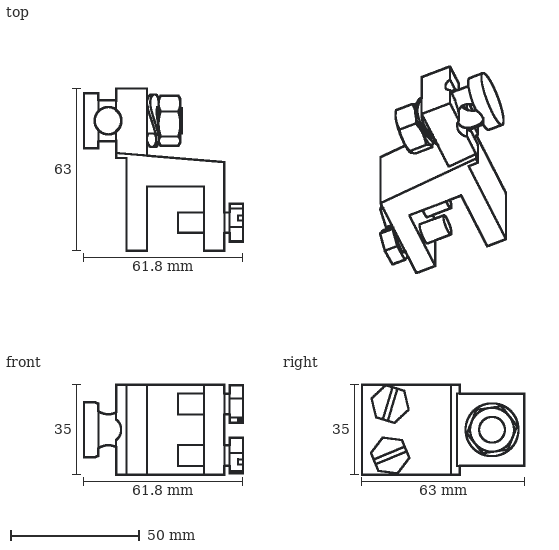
import cadquery as cq
import math


HALF_CORNER_ANGLE = 30.0
QUARTER_TURN = 90.0

LUG_THICKNESS = 12.0
LUG_HEIGHT = 28.0
LUG_TOP_Y = 12.5
STEP_DEPTH = 4.0
STEP_Y = LUG_TOP_Y - 27.0
CLAMP_HEIGHT = 35.0
ARM_THICKNESS = 8.0
JAW_OPENING = 22.0
CLAMP_END_Y = LUG_TOP_Y - 63.0
JAW_FLOOR_Y = CLAMP_END_Y + 25.0
SLOPE_START_Y = LUG_TOP_Y - 25.0
SLOPE_END_Y = LUG_TOP_Y - 28.5
JAW_NEAR_X = STEP_DEPTH + ARM_THICKNESS
JAW_FAR_X = JAW_NEAR_X + JAW_OPENING
CLAMP_FAR_X = JAW_FAR_X + ARM_THICKNESS

PASSAGE_X = -3.0
STUD_HOLE_DIAMETER = 10.5
GROOVE_DIAMETER = 10.0

HEAD_DIAMETER = 21.5
HEAD_LENGTH = 5.6
HEAD_START_X = -12.5
COLLAR_DIAMETER = 16.0
COLLAR_END_X = 4.5
COLLAR_ROUNDING = 4.0
ROD_DIAMETER = 10.0
ROD_END_X = 25.5
COLLAR_RECESS_DIAMETER = 17.0
COLLAR_RECESS_DEPTH = COLLAR_END_X
ROD_HOLE_DIAMETER = 11.0

WASHER_DIAMETER = 20.5
WASHER_HOLE_DIAMETER = 10.5
WASHER_THICKNESS = 1.0
WASHER_SPAN = 4.5
WASHER_TURN = 46.0

NUT_START_X = LUG_THICKNESS + WASHER_SPAN
NUT_ACROSS_FLATS = 17.0
NUT_LENGTH = 8.4
NUT_TURN = 8.3
NUT_CHAMFER_ANGLE = 30.0

SCREW_DIAMETER = 8.0
SCREW_Y = CLAMP_END_Y + 11.0
SCREW_Z = 9.97
SCREW_REACH = 10.0
SCREW_HEAD_GAP = 2.0
SCREW_HEAD_LENGTH = 5.3
SCREW_ACROSS_FLATS = 13.0
SLOT_WIDTH = 2.0
SLOT_DEPTH = 2.0
SLOT_TURN = QUARTER_TURN
UPPER_SCREW_TURN = 73.3
LOWER_SCREW_TURN = 22.5


def rod(diameter, start_x, end_x, y=0.0, z=0.0):
    """Round bar along X."""
    plane = cq.Workplane("YZ", origin=(start_x, y, z))
    return plane.circle(diameter / 2).extrude(end_x - start_x)


def hexagon(across_flats, start_x, length):
    """Hexagonal bar along X, with one corner pointing along +Y."""
    across_corners = across_flats / math.cos(math.radians(HALF_CORNER_ANGLE))
    return cq.Workplane("YZ", origin=(start_x, 0, 0)).polygon(6, across_corners).extrude(length)


def turn_about_x(body, angle):
    return body.rotate((0, 0, 0), (1, 0, 0), angle)


def upright_passage(diameter):
    """Passage along Z in front of the lug face."""
    plane = cq.Workplane("XY", origin=(PASSAGE_X, 0, 0))
    return plane.circle(diameter / 2).extrude(CLAMP_HEIGHT, both=True)


def make_housing():
    lug = cq.Workplane("XY", origin=(0, STEP_Y, 0)).box(
        LUG_THICKNESS, LUG_TOP_Y - STEP_Y, LUG_HEIGHT, centered=(False, False, True)
    )
    clamp = (
        cq.Workplane("XY")
        .moveTo(0, SLOPE_START_Y)
        .lineTo(CLAMP_FAR_X, SLOPE_END_Y)
        .lineTo(CLAMP_FAR_X, CLAMP_END_Y)
        .lineTo(JAW_FAR_X, CLAMP_END_Y)
        .lineTo(JAW_FAR_X, JAW_FLOOR_Y)
        .lineTo(JAW_NEAR_X, JAW_FLOOR_Y)
        .lineTo(JAW_NEAR_X, CLAMP_END_Y)
        .lineTo(STEP_DEPTH, CLAMP_END_Y)
        .lineTo(STEP_DEPTH, STEP_Y)
        .lineTo(0, STEP_Y)
        .close()
        .extrude(CLAMP_HEIGHT / 2, both=True)
    )
    groove = (
        cq.Workplane("XZ", origin=(PASSAGE_X, LUG_TOP_Y, 0))
        .circle(GROOVE_DIAMETER / 2)
        .extrude(LUG_TOP_Y - STEP_Y)
    )
    housing = lug.union(clamp).cut(groove).cut(upright_passage(GROOVE_DIAMETER))
    housing = housing.cut(rod(COLLAR_RECESS_DIAMETER, 0, COLLAR_RECESS_DEPTH))
    housing = housing.cut(rod(ROD_HOLE_DIAMETER, 0, LUG_THICKNESS))
    for z in (SCREW_Z, -SCREW_Z):
        housing = housing.cut(rod(SCREW_DIAMETER, JAW_FAR_X, CLAMP_FAR_X, SCREW_Y, z))
    return housing


def make_stud():
    head_end_x = HEAD_START_X + HEAD_LENGTH
    head = rod(HEAD_DIAMETER, HEAD_START_X, head_end_x)
    collar = rod(COLLAR_DIAMETER, head_end_x, COLLAR_END_X)
    collar = collar.faces(">X").edges().fillet(COLLAR_ROUNDING)
    shaft = rod(ROD_DIAMETER, head_end_x, ROD_END_X)
    return head.union(collar).union(shaft).cut(upright_passage(STUD_HOLE_DIAMETER))


def make_washer():
    """Ring cut from a sheet bent round an axis across the stud, its bulge touching the nut."""
    radius = WASHER_DIAMETER / 2
    rise = WASHER_SPAN - WASHER_THICKNESS
    inner_bend = (radius**2 + rise**2) / (2 * rise)
    outer_bend = inner_bend + WASHER_THICKNESS
    sheet = (
        cq.Workplane("XY", origin=(NUT_START_X - outer_bend, 0, 0))
        .circle(outer_bend)
        .circle(inner_bend)
        .extrude(WASHER_DIAMETER, both=True)
    )
    ring = rod(WASHER_DIAMETER, LUG_THICKNESS, NUT_START_X)
    ring = ring.cut(rod(WASHER_HOLE_DIAMETER, LUG_THICKNESS, NUT_START_X))
    return turn_about_x(sheet.intersect(ring), WASHER_TURN)


def make_nut():
    """Hexagon nut whose corners are turned down to a cone at both ends."""
    flat_radius = NUT_ACROSS_FLATS / 2
    corner_radius = flat_radius / math.cos(math.radians(HALF_CORNER_ANGLE))
    chamfer = (corner_radius - flat_radius) * math.tan(math.radians(NUT_CHAMFER_ANGLE))
    end_x = NUT_START_X + NUT_LENGTH
    turned = rod(2 * corner_radius, NUT_START_X, end_x).edges().chamfer(
        chamfer, corner_radius - flat_radius
    )
    nut = turn_about_x(hexagon(NUT_ACROSS_FLATS, NUT_START_X, NUT_LENGTH), NUT_TURN)
    return nut.intersect(turned).cut(rod(ROD_DIAMETER, NUT_START_X, end_x))


def make_screw(z, turn):
    """Screw with a slotted hexagon head, threaded through the far arm of the clamp."""
    head_start_x = CLAMP_FAR_X + SCREW_HEAD_GAP
    slot = cq.Workplane("XY").box(SLOT_DEPTH, 2 * SCREW_ACROSS_FLATS, SLOT_WIDTH)
    slot = slot.translate((head_start_x + SCREW_HEAD_LENGTH - SLOT_DEPTH / 2, 0, 0))
    slot = turn_about_x(slot, SLOT_TURN)
    head = hexagon(SCREW_ACROSS_FLATS, head_start_x, SCREW_HEAD_LENGTH).cut(slot)
    shank = rod(SCREW_DIAMETER, JAW_FAR_X - SCREW_REACH, head_start_x)
    return turn_about_x(head, QUARTER_TURN + turn).union(shank).translate((0, SCREW_Y, z))


housing = make_housing()
stud = make_stud()
washer = make_washer()
nut = make_nut()
screws = []
for screw_z, screw_turn in ((SCREW_Z, UPPER_SCREW_TURN), (-SCREW_Z, LOWER_SCREW_TURN)):
    screws.append(make_screw(screw_z, screw_turn))

result = cq.Compound.makeCompound(
    [housing.val(), stud.val(), washer.val(), nut.val(), *[screw.val() for screw in screws]]
)